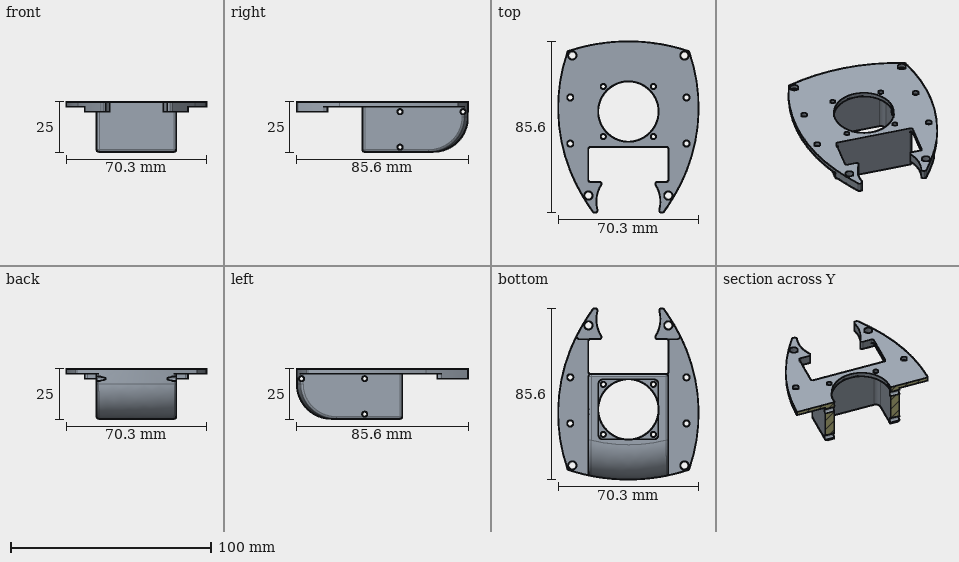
import cadquery as cq
import math


plate_thickness = 2.5
back_y = 35.1
tip_y = back_y - 85.6
half_width = 35.13
widest_y = 1.7
back_corner = (30.3, 30.1)
side_joint = (29.2, -29.35)
horn_curve_middle = (24.7, -38.85)
horn_tip = (17.45, tip_y)
back_corner_radius = 1.0
tip_radius = 1.2

slot_half_width = 19.9
slot_back_y = -17.7
slot_front_y = -35.1
slot_corner_radius = 1.0
throat_radius = 15.9
throat_y = -45.0
lip_radius = 1.0

pad_thickness = 5.0
pad_corner_radius = 1.4

housing_depth = 25.0
housing_back_radius = 17.5
housing_edge_radius = 1.3
cavity_size = 30.0
cavity_corner_radius = 2.5

bore_diameter = 30.0
motor_hole_diameter = 2.5
motor_hole_offset = 12.5
side_hole_diameter = 3.0
side_hole_x = 29.0
side_hole_ys = (7.0, -16.0)
mount_hole_diameter = 4.0
back_mount = (28.0, 28.0)
horn_mount = (slot_half_width, -41.9)
cross_hole_diameter = 2.5
cross_holes = ((32.6, -4.9), (1.1, -4.9), (1.1, -22.6))

back_rise = back_y - back_corner[1]
back_radius = (back_corner[0] ** 2 + back_rise ** 2) / (2 * back_rise)


def back_edge_y(x):
    return back_y - back_radius + math.sqrt(back_radius ** 2 - x ** 2)


def mirror_x(point):
    return (-point[0], point[1])


def near(x, y, reach=0.5):
    """Selector for edges below the top face, centred close to (x, y)."""
    return cq.selectors.BoxSelector((x - reach, y - reach, -housing_depth), (x + reach, y + reach, 0))


def plate_outline(thickness):
    """Slab with the outer outline of the plate and round back corners."""
    widest = (half_width, widest_y)
    slab = (
        cq.Workplane("XY")
        .moveTo(*mirror_x(back_corner))
        .threePointArc((0, back_y), back_corner)
        .threePointArc(widest, side_joint)
        .threePointArc(horn_curve_middle, horn_tip)
        .lineTo(*mirror_x(horn_tip))
        .threePointArc(mirror_x(horn_curve_middle), mirror_x(side_joint))
        .threePointArc(mirror_x(widest), mirror_x(back_corner))
        .close()
        .extrude(-thickness)
    )
    for side in (-1, 1):
        slab = slab.edges(near(side * back_corner[0], back_corner[1])).fillet(back_corner_radius)
    return slab


def horn_pads():
    """Thicker ends of the horns, with a rounded outer back corner."""
    slot_edge_to_tip = slot_front_y - tip_y
    ends = cq.Workplane("XY").box(
        2 * half_width, slot_edge_to_tip, pad_thickness, centered=(True, False, False)
    ).translate((0, tip_y, -pad_thickness))
    pads = plate_outline(pad_thickness).intersect(ends)
    return pads.edges("|Z and >Y").fillet(pad_corner_radius)


def horn_opening():
    """Rectangular slot that opens to the front through a round throat."""
    slot_length = slot_back_y - slot_front_y
    slot = (
        cq.Workplane("XY")
        .center(0, (slot_back_y + slot_front_y) / 2)
        .rect(2 * slot_half_width, slot_length)
        .extrude(-pad_thickness)
        .edges("|Z")
        .fillet(slot_corner_radius)
    )
    throat = cq.Workplane("XY").center(0, throat_y).circle(throat_radius).extrude(-pad_thickness)
    throat_back = cq.Workplane("XY").box(
        2 * throat_radius, 2 * throat_radius, pad_thickness, centered=(True, False, False)
    ).translate((0, slot_front_y, -pad_thickness))
    return slot.union(throat.cut(throat_back))


def round_horns(plate):
    """Round the lips beside the slot and the tips of the horns."""
    lip_x = math.sqrt(throat_radius ** 2 - (slot_front_y - throat_y) ** 2)
    tip_x = math.sqrt(throat_radius ** 2 - (tip_y - throat_y) ** 2)
    for side in (-1, 1):
        plate = plate.edges(near(side * lip_x, slot_front_y)).edges("|Z").fillet(lip_radius)
        for x in (tip_x, horn_tip[0]):
            plate = plate.edges(near(side * x, tip_y)).edges("|Z").fillet(tip_radius)
    return plate


def housing():
    """Block with a curved back wall that sweeps round into the bottom."""
    corner_y = back_edge_y(slot_half_width)
    block = (
        cq.Workplane("XY")
        .moveTo(-slot_half_width, slot_back_y)
        .lineTo(-slot_half_width, corner_y)
        .threePointArc((0, back_y), (slot_half_width, corner_y))
        .lineTo(slot_half_width, slot_back_y)
        .close()
        .extrude(-housing_depth)
    )
    block = block.faces("<Z").edges(">Y").fillet(housing_back_radius)
    below_top = cq.selectors.BoxSelector(
        (-half_width, tip_y, -2 * housing_depth), (half_width, back_y, -housing_edge_radius)
    )
    return block.faces("<X or >X or <Y").edges(below_top).fillet(housing_edge_radius)


def cavity():
    """Square motor space below the plate, open at the bottom."""
    return (
        cq.Workplane("XY", origin=(0, 0, -plate_thickness))
        .rect(cavity_size, cavity_size)
        .extrude(plate_thickness - housing_depth)
        .edges("|Z")
        .fillet(cavity_corner_radius)
    )


def vertical_holes(points, diameter):
    return cq.Workplane("XY").pushPoints(points).circle(diameter / 2).extrude(-housing_depth)


def cross_hole_pins():
    """Pins along X that cut the cross holes through both side walls."""
    return (
        cq.Workplane("YZ")
        .pushPoints(cross_holes)
        .circle(cross_hole_diameter / 2)
        .extrude(slot_half_width, both=True)
    )


motor_holes = [(x, y) for x in (-motor_hole_offset, motor_hole_offset)
               for y in (-motor_hole_offset, motor_hole_offset)]
side_holes = [(x, y) for x in (-side_hole_x, side_hole_x) for y in side_hole_ys]
mount_holes = [back_mount, mirror_x(back_mount), horn_mount, mirror_x(horn_mount)]

plate = plate_outline(plate_thickness).union(horn_pads()).cut(horn_opening())
result = (
    round_horns(plate)
    .union(housing())
    .cut(cavity())
    .cut(vertical_holes([(0, 0)], bore_diameter))
    .cut(vertical_holes(motor_holes, motor_hole_diameter))
    .cut(vertical_holes(side_holes, side_hole_diameter))
    .cut(vertical_holes(mount_holes, mount_hole_diameter))
    .cut(cross_hole_pins())
)